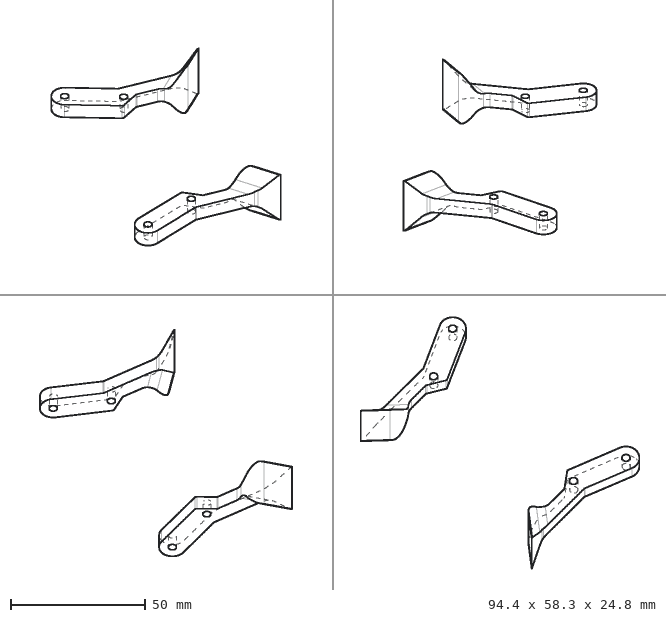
import cadquery as cq
import math

pivot_spacing = 84.4
right_arm_shift_y = 0.2
right_arm_lift = 3.1
arm_tilt = 0.5

arm_thickness = 6.1
blade_height = 21.7

hole_diameter = 3.0
pivot_radius = 5.0
upper_hole = (8.2, 20.4)
shoulder = (3.0, 20.2)
elbow = (13.0, 18.4)
notch = (8.6, 25.2)
neck_end = (notch[0], 33.7)
bulge_start = (9.4, 36.15)
bulge_middle = (10.8, 40.4)
bulge_end = (8.1, 46.2)
blade_tip = (0.6, 53.1)
neck_bend = (shoulder[0], 44.2)
neck_bend_radius = 4.5
corner_radius = 0.9

rim_width = 0.3
flare_angle = 60.0
flare_fillet = 4.0


def tangent_point(point, side):
    """Where a line from the point touches the pivot circle; side is +1 or -1."""
    distance = math.hypot(*point)
    angle = math.atan2(point[1], point[0]) + side * math.acos(pivot_radius / distance)
    return (pivot_radius * math.cos(angle), pivot_radius * math.sin(angle))


def round_corner(plan, corner, radius):
    """Round the upright edge of the plan that stands at the corner."""
    corner_edge = cq.selectors.NearestToPointSelector((*corner, 0))
    return plan.edges("|Z").edges(corner_edge).fillet(radius)


def arm_plan():
    """Plan of the arm, blade included, extruded to the full blade height."""
    far_length = math.hypot(*upper_hole)
    pivot_bottom = tuple(-pivot_radius * c / far_length for c in upper_hole)
    plan = (
        cq.Workplane("XY", origin=(0, 0, -blade_height / 2))
        .moveTo(*elbow)
        .lineTo(*notch)
        .lineTo(*neck_end)
        .tangentArcPoint(bulge_start, relative=False)
        .threePointArc(bulge_middle, bulge_end)
        .lineTo(*blade_tip)
        .lineTo(*neck_bend)
        .lineTo(*shoulder)
        .lineTo(*tangent_point(shoulder, 1))
        .threePointArc(pivot_bottom, tangent_point(elbow, -1))
        .close()
        .extrude(blade_height)
    )
    plan = round_corner(plan, neck_bend, neck_bend_radius)
    for corner in (shoulder, elbow, notch):
        plan = round_corner(plan, corner, corner_radius)
    return plan


def flare_profile():
    """Side profile of the arm, swept along the back face of the blade."""
    half_arm = arm_thickness / 2
    half_blade = blade_height / 2
    flare_run = (half_blade - half_arm) / math.tan(math.radians(flare_angle))
    flare_foot = rim_width + flare_run
    reach = 2 * blade_tip[1]
    back = (bulge_end[0] - blade_tip[0], bulge_end[1] - blade_tip[1])
    inward = (back[1], -back[0], 0)
    plane = cq.Plane(origin=(*blade_tip, 0), xDir=inward, normal=(*back, 0))
    profile = (
        cq.Workplane(plane)
        .polyline([
            (0, -half_blade),
            (rim_width, -half_blade),
            (flare_foot, -half_arm),
            (reach, -half_arm),
            (reach, half_arm),
            (flare_foot, half_arm),
            (rim_width, half_blade),
            (0, half_blade),
        ])
        .close()
        .extrude(reach, both=True)
    )
    for side in (-1, 1):
        foot = plane.toWorldCoords((flare_foot, side * half_arm, 0))
        foot_edge = cq.selectors.NearestToPointSelector(foot.toTuple())
        profile = profile.edges(foot_edge).fillet(flare_fillet)
    return profile


def make_arm():
    """Left arm, untilted, with its pivot hole on the Z axis."""
    holes = (
        cq.Workplane("XY", origin=(0, 0, -blade_height / 2))
        .pushPoints([(0, 0), upper_hole])
        .circle(hole_diameter / 2)
        .extrude(blade_height)
    )
    return arm_plan().intersect(flare_profile()).cut(holes)


def place_arm(arm, x, y, z):
    """Tilt an arm about its pivot and move the pivot into place."""
    return arm.rotate((0, 0, 0), (0, 0, 1), -arm_tilt).translate((x, y, z))


left_arm = place_arm(make_arm(), -pivot_spacing / 2, 0, 0)
right_arm = place_arm(
    make_arm().mirror("YZ"), pivot_spacing / 2, right_arm_shift_y, right_arm_lift
)

result = cq.Compound.makeCompound([left_arm.val(), right_arm.val()])